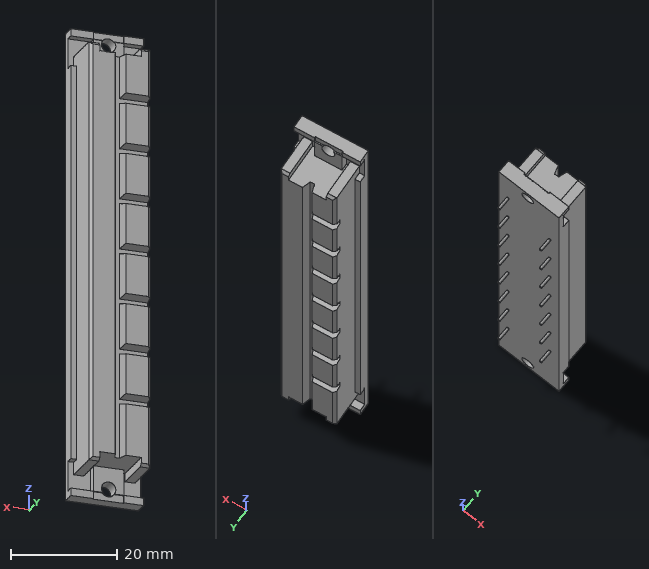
import cadquery as cq

PLATE_WIDTH = 14.7
PLATE_LENGTH = 94.75
PLATE_THICKNESS = 2.9
PIN_LENGTH = 2.75
TOTAL_DEPTH = 12.8

BODY_WIDTH = 12.3
BODY_LENGTH = 84.8
BODY_CHAMFER = 0.6
END_RECESS_WIDTH = 8.3
END_RECESS_DEPTH = 1.7

CHANNEL_DEPTH = 1.6
CHANNEL_LENGTH = 6.0
LIP_LENGTH = 1.5

HOLE_DIAMETER = 2.8
HOLE_END_DISTANCE = 2.4
HOLE_X = -0.3
WEB_WIDTH = 6.1
LIP_NOTCH_DEPTH = 0.3

PIN_DIAMETER = 0.6
PIN_COUNT = 15
PIN_TOP_MARGIN = 10.5
PIN_BOTTOM_MARGIN = 13.1

SLOT_MOUTH = 2.1
SLOT_FLOOR = 0.95
SLOT_DEPTH = 1.8

BODY_TOP_Y = TOTAL_DEPTH - PIN_LENGTH
CHANNEL_FLOOR_Y = PLATE_THICKNESS - CHANNEL_DEPTH
PIN_PITCH = (PLATE_LENGTH - PIN_TOP_MARGIN - PIN_BOTTOM_MARGIN) / (PIN_COUNT - 1)
PIN_ROW_X = PIN_PITCH


def block(x_size, y_min, y_max, z_size, x_center=0.0, z_center=0.0):
    """Box that spans y_min to y_max, placed by its centre in X and Z."""
    center = (x_center, (y_min + y_max) / 2, z_center)
    return cq.Workplane("XY").box(x_size, y_max - y_min, z_size).translate(center)


def make_plate():
    """Base plate with its end channels, webs and notched lips."""
    plate = block(PLATE_WIDTH, 0, PLATE_THICKNESS, PLATE_LENGTH)
    notch_floor_y = PLATE_THICKNESS - LIP_NOTCH_DEPTH
    for side in (-1, 1):
        channel_z = side * (PLATE_LENGTH / 2 - LIP_LENGTH - CHANNEL_LENGTH / 2)
        channel = block(PLATE_WIDTH, CHANNEL_FLOOR_Y, PLATE_THICKNESS, CHANNEL_LENGTH, z_center=channel_z)
        web = block(WEB_WIDTH, CHANNEL_FLOOR_Y, PLATE_THICKNESS, CHANNEL_LENGTH, HOLE_X, channel_z)
        lip_z = side * (PLATE_LENGTH - LIP_LENGTH) / 2
        notch = block(WEB_WIDTH, notch_floor_y, PLATE_THICKNESS, LIP_LENGTH, HOLE_X, lip_z)
        plate = plate.cut(channel.cut(web)).cut(notch)
    return plate


def make_body():
    """Contact body with a chamfered front and a recess in each end face."""
    body = block(BODY_WIDTH, CHANNEL_FLOOR_Y, BODY_TOP_Y, BODY_LENGTH)
    body = body.faces(">Y").chamfer(BODY_CHAMFER)
    for side in (-1, 1):
        recess_z = side * (BODY_LENGTH - END_RECESS_DEPTH) / 2
        recess = block(END_RECESS_WIDTH, CHANNEL_FLOOR_Y, BODY_TOP_Y, END_RECESS_DEPTH, z_center=recess_z)
        body = body.cut(recess)
    return body


def slot_profile(plane, center):
    """Tapered slot outline, open at the front of the body."""
    floor_y = BODY_TOP_Y - SLOT_DEPTH
    outline = [
        (center - SLOT_MOUTH / 2, BODY_TOP_Y),
        (center - SLOT_FLOOR / 2, floor_y),
        (center + SLOT_FLOOR / 2, floor_y),
        (center + SLOT_MOUTH / 2, BODY_TOP_Y),
    ]
    return cq.Workplane(plane).polyline(outline).close()


def pin_z(index):
    return -PLATE_LENGTH / 2 + PIN_BOTTOM_MARGIN + index * PIN_PITCH


def make_pin(index):
    """Solder pin: even pins stand in the -X row, odd pins in the +X row."""
    row_x = -PIN_ROW_X if index % 2 == 0 else PIN_ROW_X
    base = cq.Workplane("XZ", origin=(row_x, 0, pin_z(index)))
    return base.circle(PIN_DIAMETER / 2).extrude(PIN_LENGTH)


def make_mounting_hole(side):
    hole_z = side * (PLATE_LENGTH / 2 - HOLE_END_DISTANCE)
    base = cq.Workplane("XZ", origin=(HOLE_X, 0, hole_z))
    return base.circle(HOLE_DIAMETER / 2).extrude(-PLATE_THICKNESS)


body = make_body().cut(slot_profile("XY", 0).extrude(BODY_LENGTH / 2, both=True))

for index in range(1, PIN_COUNT, 2):
    body = body.cut(slot_profile("ZY", pin_z(index)).extrude(BODY_WIDTH / 2))

result = make_plate().union(body)

for index in range(PIN_COUNT):
    result = result.union(make_pin(index))

for side in (-1, 1):
    result = result.cut(make_mounting_hole(side))